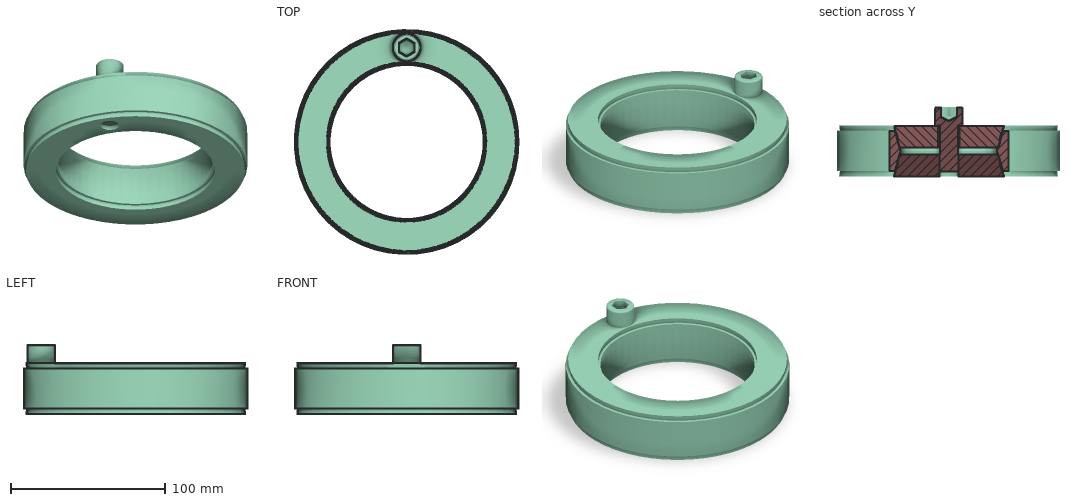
import cadquery as cq
import math


outer_diameter = 145.0
bore_diameter = 100.0
assembly_height = 33.0
face_step = 3.5
wedge_outer_diameter = 142.0
wedge_inner_diameter = 103.0
wedge_height = 14.5
taper_angle = 8.0

shank_diameter = 12.0
shank_length = 30.0
clearance_diameter = 13.5
head_diameter = 18.0
head_height = 11.9
head_fillet = 1.2
socket_flats = 10.0
socket_depth = 5.8
socket_cone_depth = 2.9

outer_radius = outer_diameter / 2
bore_radius = bore_diameter / 2
wedge_outer_radius = wedge_outer_diameter / 2
wedge_inner_radius = wedge_inner_diameter / 2
middle_z = assembly_height / 2
ring_bottom = face_step
ring_top = assembly_height - face_step
taper_slope = math.tan(math.radians(taper_angle))
step_inset = face_step * taper_slope
wedge_inset = wedge_height * taper_slope
middle_inset = middle_z * taper_slope
screw_y = (wedge_outer_radius + wedge_inner_radius) / 2
socket_corners = socket_flats / math.cos(math.radians(30))


def revolve_profile(points):
    """Revolve a closed (radius, z) outline about the Z axis."""
    return cq.Workplane("XZ").polyline(points).close().revolve(360, (0, 0), (0, 1))


def screw_cylinder(diameter, bottom_z, height):
    """Cylinder on the screw axis."""
    return cq.Workplane("XY", origin=(0, screw_y, bottom_z)).circle(diameter / 2).extrude(height)


def make_clamp_ring(plain_radius, taper_radius, lean):
    """Ring with one plain wall and one double-tapered wall, thickest at mid height.

    lean is -1 if the tapered wall leans toward the axis at mid height, +1 if away from it.
    """
    face_radius = taper_radius + lean * step_inset
    middle_radius = taper_radius + lean * middle_inset
    return revolve_profile([
        (plain_radius, ring_bottom),
        (face_radius, ring_bottom),
        (middle_radius, middle_z),
        (face_radius, ring_top),
        (plain_radius, ring_top),
    ])


def make_wedge_ring(hole_diameter):
    """Lower wedge ring, widest at Z = 0, with a screw hole through it."""
    ring = revolve_profile([
        (wedge_inner_radius, 0),
        (wedge_outer_radius, 0),
        (wedge_outer_radius - wedge_inset, wedge_height),
        (wedge_inner_radius + wedge_inset, wedge_height),
    ])
    return ring.cut(screw_cylinder(hole_diameter, 0, wedge_height))


def make_socket():
    """Hexagonal socket, corners on the Y axis, with a conical floor."""
    top_z = assembly_height + head_height
    total_depth = socket_depth + socket_cone_depth
    hexagon = (
        cq.Workplane("XY", origin=(0, screw_y, top_z))
        .transformed(rotate=(0, 0, 90))
        .polygon(6, socket_corners)
        .extrude(-total_depth)
    )
    pointed_plug = (
        cq.Workplane("XZ", origin=(0, screw_y, top_z))
        .polyline([
            (0, 0),
            (socket_corners / 2, 0),
            (socket_corners / 2, -socket_depth),
            (0, -total_depth),
        ])
        .close()
        .revolve(360, (0, 0), (0, 1))
    )
    return hexagon.intersect(pointed_plug)


def make_screw():
    """Socket-head cap screw seated on the upper wedge ring."""
    head = screw_cylinder(head_diameter, assembly_height, head_height)
    head = head.faces(">Z").edges().fillet(head_fillet)
    shank = screw_cylinder(shank_diameter, assembly_height - shank_length, shank_length)
    return head.union(shank).cut(make_socket())


outer_ring = make_clamp_ring(outer_radius, wedge_outer_radius, -1)
inner_ring = make_clamp_ring(bore_radius, wedge_inner_radius, 1)
lower_wedge = make_wedge_ring(shank_diameter)
upper_wedge = make_wedge_ring(clearance_diameter).mirror("XY").translate((0, 0, assembly_height))
screw = make_screw()

result = cq.Compound.makeCompound([
    outer_ring.val(),
    inner_ring.val(),
    lower_wedge.val(),
    upper_wedge.val(),
    screw.val(),
])